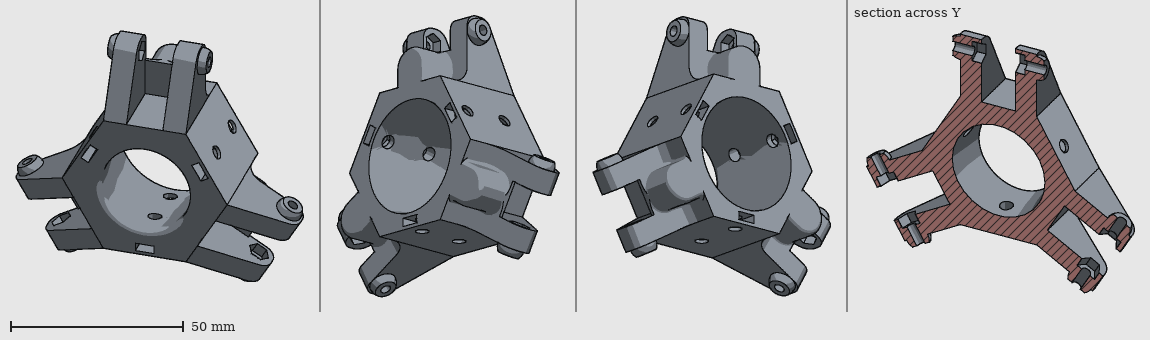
import cadquery as cq
import math

overall_width = 86.4
depth = 30.0
hex_side = 25.05
bore_front_dia = 26.25
bore_back_dia = 34.0
bore_front_round = 2.0

fork_gap = 11.05
arm_back_y = 4.1
tip_corner_y = -4.0
tip_back_round = 3.5
tip_front_round = 5.0
heel_round = 5.0

pivot_radius = 37.9
pivot_hole_dia = 3.0
collar_dia = 8.0
fork_nut_depth = 3.0
nut_flats = 5.6

stop_width = 12.0
stop_top = 33.1
stop_base_round = 1.0
stop_back_round = 1.55
web_thickness = 1.0

screw_dia = 4.0
screw_front_inset = 10.0
screw_back_inset = 5.0
slot_thickness = 2.5
slot_inner = 18.1

TOLERANCE = 0.1

COS_30 = math.cos(math.radians(30))
SIN_30 = math.sin(math.radians(30))

front_y = -depth / 2
back_y = depth / 2
apothem = hex_side * COS_30
arm_width = hex_side
arm_tip = (overall_width / 2 - arm_width / 2 * SIN_30) / COS_30

collar_height = (depth - arm_width) / 2
nut_corners = nut_flats / COS_30

stop_centre_z = stop_top - stop_width / 2
web_front_y = arm_back_y - web_thickness
arm_angles = (0, 120, 240)
screw_angles = (60, 180, 300)


def spin(shape, angle):
    """Turn a shape about the bore axis."""
    return shape.rotate((0, 0, 0), (0, 1, 0), angle)


def block(x_size, y_min, y_max, z_min, z_max):
    """Box centred on X between the given Y and Z limits."""
    return cq.Workplane("XY").box(x_size, y_max - y_min, z_max - z_min).translate(
        (0, (y_min + y_max) / 2, (z_min + z_max) / 2)
    )


def hexagon_body():
    """Hexagonal prism along Y with a flat side facing +Z."""
    return (
        cq.Workplane("XZ", origin=(0, back_y, 0))
        .polygon(6, 2 * hex_side)
        .extrude(depth)
    )


def arm_plate():
    """Full-width arm with a sloped front and a concave heel behind."""
    plate = (
        cq.Workplane("YZ", origin=(-arm_width / 2, 0, 0))
        .moveTo(front_y, 0)
        .lineTo(front_y, apothem)
        .lineTo(tip_corner_y, arm_tip)
        .lineTo(arm_back_y, arm_tip)
        .lineTo(arm_back_y, apothem)
        .lineTo(back_y, apothem)
        .lineTo(back_y, 0)
        .close()
        .extrude(arm_width)
    )
    heel = cq.selectors.NearestToPointSelector((0, arm_back_y, apothem))
    return plate.edges(heel).fillet(heel_round)


def stop_block():
    """Round-topped block behind the forks, reaching into their rear face."""
    half = stop_width / 2
    return (
        cq.Workplane("XZ", origin=(0, back_y, 0))
        .moveTo(-half, 0)
        .lineTo(-half, stop_centre_z)
        .threePointArc((0, stop_top), (half, stop_centre_z))
        .lineTo(half, 0)
        .close()
        .extrude(back_y - web_front_y)
    )


def is_base_edge(edge):
    """True where the stop block meets the forks, the heel or the hexagon face."""
    centre = edge.Center()
    on_block = abs(centre.x) < stop_width / 2 + TOLERANCE and apothem - TOLERANCE < centre.z < stop_top
    on_forks = abs(centre.y - arm_back_y) < TOLERANCE
    on_heel = edge.geomType() == "CIRCLE" and arm_back_y < centre.y < arm_back_y + heel_round
    on_hexagon = abs(centre.z - apothem) < TOLERANCE and arm_back_y < centre.y < back_y - TOLERANCE
    along_x = edge.BoundingBox().ylen < TOLERANCE and edge.BoundingBox().zlen < TOLERANCE
    return on_block and (on_forks or on_heel or on_hexagon) and not along_x


def is_back_edge(edge):
    """True on the rear outline of the stop block and its base rounds."""
    return edge.Center().z > apothem + TOLERANCE


def pivot_plane(x):
    """Sketch plane facing +X, centred on the pivot axis."""
    return cq.Workplane("YZ", origin=(x, 0, pivot_radius))


def collar():
    """Spherical collar on the outer face of the +X fork, cut flat at its end."""
    ball_radius = collar_dia / 2
    mid_height = collar_height / 2
    mid_radius = math.sqrt(ball_radius**2 - mid_height**2)
    end_radius = math.sqrt(ball_radius**2 - collar_height**2)
    return (
        cq.Workplane("XZ", origin=(arm_width / 2, 0, pivot_radius))
        .lineTo(0, ball_radius)
        .threePointArc((mid_height, mid_radius), (collar_height, end_radius))
        .lineTo(collar_height, 0)
        .close()
        .revolve(360, (0, 0, 0), (1, 0, 0))
    )


def fork_nut_pocket():
    """Hexagonal pocket in the inner face of the +X fork, one corner towards the tip."""
    return (
        pivot_plane(fork_gap / 2)
        .transformed(rotate=(0, 0, 90))
        .polygon(6, nut_corners)
        .extrude(fork_nut_depth)
    )


def arm():
    """Pair of forks with the stop block, pointing along +Z."""
    body = arm_plate().union(stop_block())
    body = body.newObject([e for e in body.edges().vals() if is_base_edge(e)]).fillet(stop_base_round)
    back_edges = [e for e in body.faces(">Y").edges().vals() if is_back_edge(e)]
    body = body.newObject(back_edges).fillet(stop_back_round)

    tip_back = cq.selectors.NearestToPointSelector((0, arm_back_y, arm_tip))
    body = body.edges(tip_back).fillet(tip_back_round)
    tip_front = cq.selectors.NearestToPointSelector((0, tip_corner_y, arm_tip))
    body = body.edges(tip_front).fillet(tip_front_round)

    body = body.cut(block(fork_gap, front_y, web_front_y, apothem, arm_tip))
    body = body.cut(block(fork_gap, web_front_y, back_y, stop_top, arm_tip))

    for side in (0, 180):
        body = body.union(collar().rotate((0, 0, 0), (0, 0, 1), side))
        body = body.cut(fork_nut_pocket().rotate((0, 0, 0), (0, 0, 1), side))
    pivot_hole = pivot_plane(-depth / 2).circle(pivot_hole_dia / 2).extrude(depth)
    return body.cut(pivot_hole)


def screw_cut(y, open_y):
    """Radial screw hole along +Z with a nut slot open at the body face open_y."""
    hole = cq.Workplane("XY", origin=(0, y, 0)).circle(screw_dia / 2).extrude(hex_side)
    seat = (
        cq.Workplane("XY", origin=(0, y, slot_inner))
        .transformed(rotate=(0, 0, 90))
        .polygon(6, nut_corners)
        .extrude(slot_thickness)
    )
    entry = block(nut_flats, min(y, open_y), max(y, open_y), slot_inner, slot_inner + slot_thickness)
    return hole.union(seat).union(entry)


result = hexagon_body()
for angle in arm_angles:
    result = result.union(spin(arm(), angle))

bore = (
    cq.Workplane("XZ", origin=(0, back_y, 0))
    .circle(bore_back_dia / 2)
    .workplane(offset=depth)
    .circle(bore_front_dia / 2)
    .loft()
)
result = result.cut(bore)
bore_rim = cq.selectors.RadiusNthSelector(0)
result = result.faces("<Y").edges("%CIRCLE").edges(bore_rim).fillet(bore_front_round)

for angle in screw_angles:
    result = result.cut(spin(screw_cut(front_y + screw_front_inset, front_y), angle))
    result = result.cut(spin(screw_cut(back_y - screw_back_inset, back_y), angle))